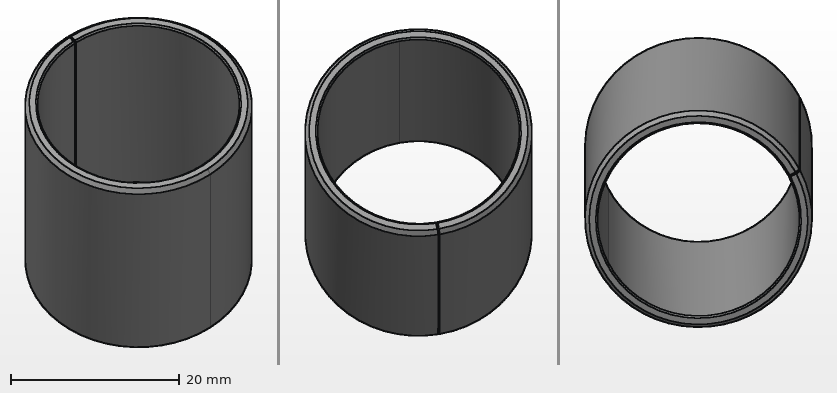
import cadquery as cq

length = 30.0
outer_diameter = 27.0
wall = 1.5
outer_chamfer = 0.5
bore_chamfer = 0.2
slit_width = 0.2

outer_radius = outer_diameter / 2
bore_radius = outer_radius - wall


def chamfered_sleeve():
    """Tube with both rims chamfered outside and inside."""
    body = cq.Workplane("XY").circle(outer_radius).extrude(length)
    body = body.faces("<Z or >Z").chamfer(outer_chamfer)
    bore = cq.Workplane("XY").circle(bore_radius).extrude(length)
    sleeve = body.cut(bore)
    return sleeve.edges(cq.selectors.RadiusNthSelector(0)).chamfer(bore_chamfer)


def butt_joint_slit():
    """Full-length gap through the -X wall, with one side on the XZ plane."""
    return cq.Workplane("XY").box(
        outer_radius, slit_width, length, centered=False
    ).translate((-outer_radius, 0, 0))


result = chamfered_sleeve().cut(butt_joint_slit())